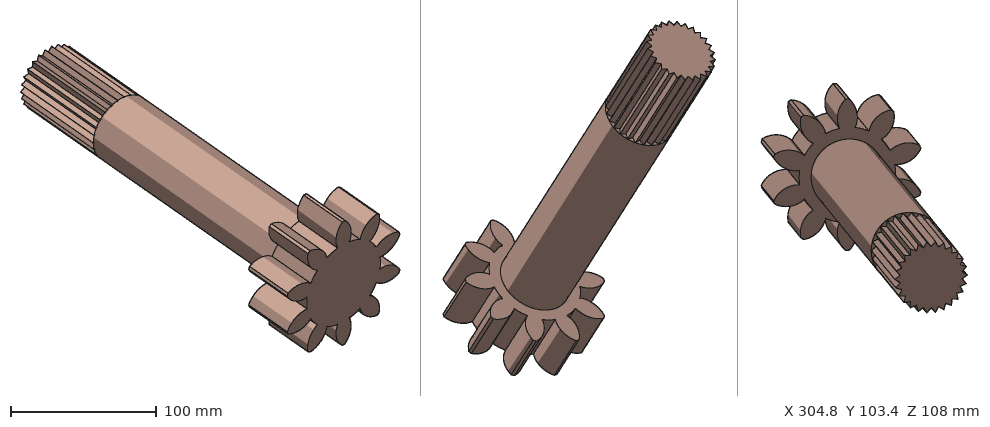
import cadquery as cq
import math

total_length = 304.8
spline_length = 75.0
gear_width = 40.0
gear_start = total_length - gear_width

shaft_diameter = 51.0
shaft_radius = shaft_diameter / 2
spline_root_radius = 22.0
spline_tooth_count = 26

gear_tooth_count = 10
gear_tip_radius = 54.0
gear_root_radius = 33.8
tooth_tip_half_width = 1.2
tooth_root_half_width = 5.5
tooth_belly_half_width = 7.0
tooth_belly_radius = 40.5


def polar_point(radius, degrees):
    """Point at a radius and an angle measured from +Z towards -Y."""
    angle = math.radians(degrees)
    return (-radius * math.sin(angle), radius * math.cos(angle))


def make_spline():
    """Splined end with sharp V grooves; one groove is centred on +Z."""
    pitch = 360.0 / spline_tooth_count
    outline = []
    for index in range(spline_tooth_count):
        outline.append(polar_point(spline_root_radius, index * pitch))
        outline.append(polar_point(shaft_radius, (index + 0.5) * pitch))
    return cq.Workplane("YZ").polyline(outline).close().extrude(spline_length)


def make_shaft():
    """Plain round shaft from the spline to the far face of the gear."""
    return (
        cq.Workplane("YZ", origin=(spline_length, 0, 0))
        .circle(shaft_radius)
        .extrude(total_length - spline_length)
    )


def make_gear_tooth():
    """Tooth pointing to +Z, with convex flanks and a narrow rounded tip."""
    tip_height = math.sqrt(gear_tip_radius**2 - tooth_tip_half_width**2)
    root_height = math.sqrt(gear_root_radius**2 - tooth_root_half_width**2)
    return (
        cq.Workplane("YZ", origin=(gear_start, 0, 0))
        .moveTo(0, 0)
        .lineTo(tooth_root_half_width, root_height)
        .threePointArc((tooth_belly_half_width, tooth_belly_radius), (tooth_tip_half_width, tip_height))
        .threePointArc((0, gear_tip_radius), (-tooth_tip_half_width, tip_height))
        .threePointArc((-tooth_belly_half_width, tooth_belly_radius), (-tooth_root_half_width, root_height))
        .close()
        .extrude(gear_width)
    )


def make_gear():
    """Root cylinder with evenly spaced teeth, the first one on +Z."""
    gear = cq.Workplane("YZ", origin=(gear_start, 0, 0)).circle(gear_root_radius).extrude(gear_width)
    tooth = make_gear_tooth()
    for index in range(gear_tooth_count):
        angle = index * 360.0 / gear_tooth_count
        gear = gear.union(tooth.rotate((0, 0, 0), (1, 0, 0), angle))
    return gear


result = make_spline().union(make_shaft()).union(make_gear())